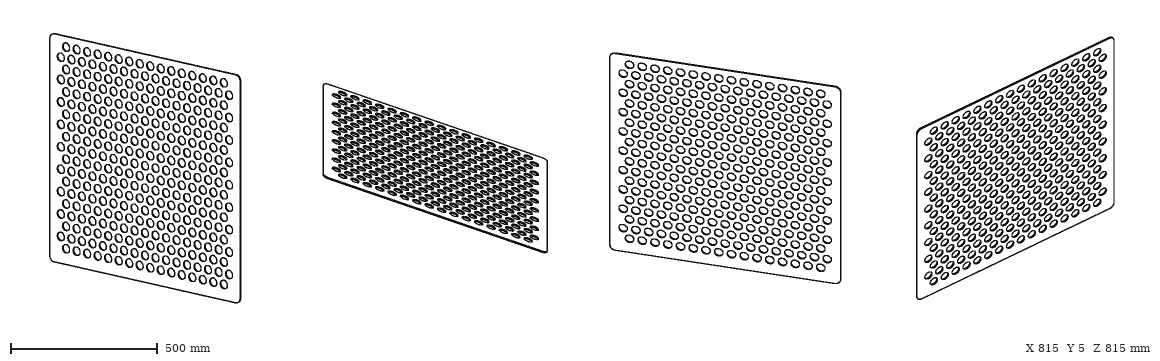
import cadquery as cq

side = 815.0
thickness = 5.0
corner_radius = 19.5

hole_diameter = 30.0
pattern_span = 720.5
pattern_rise = 9.0
row_count = 19
short_row_holes = 16
long_row_holes = short_row_holes + 1
column_pitch = pattern_span / (long_row_holes - 1)
row_pitch = pattern_span / (row_count - 1)


def row_centres(row):
    """Hole centres of one row, counted from the bottom; short and long rows alternate."""
    count = short_row_holes if row % 2 == 0 else long_row_holes
    first_x = -(count - 1) * column_pitch / 2
    z = pattern_rise - pattern_span / 2 + row * row_pitch
    return [(first_x + column * column_pitch, z) for column in range(count)]


hole_centres = []
for row in range(row_count):
    hole_centres += row_centres(row)

plate = (
    cq.Workplane("XZ")
    .rect(side, side)
    .extrude(thickness / 2, both=True)
    .edges("|Y")
    .fillet(corner_radius)
)

holes = (
    cq.Workplane("XZ")
    .pushPoints(hole_centres)
    .circle(hole_diameter / 2)
    .extrude(thickness, both=True)
)

result = plate.cut(holes)